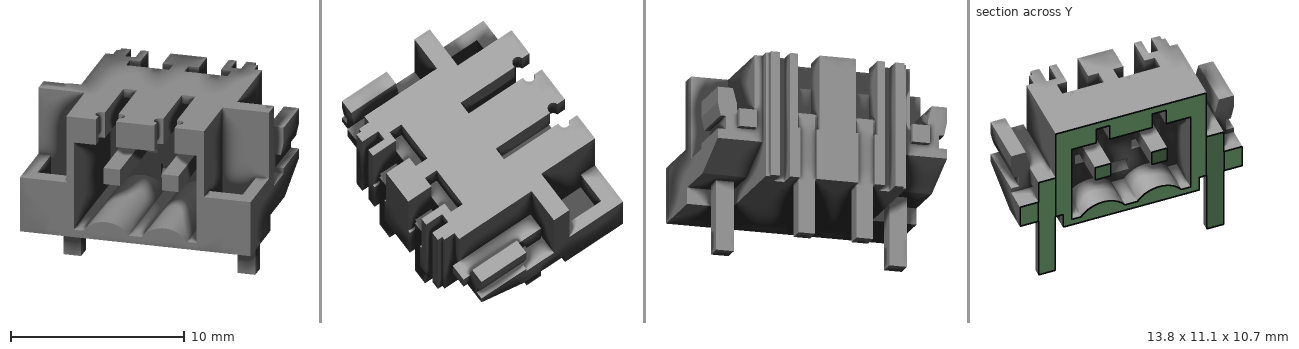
import cadquery as cq


width = 13.85
depth = 11.05
height = 7.45
pin_drop = 3.2

half_width = width / 2
pole_pitch = 3.5
pole_centres = [-pole_pitch / 2, pole_pitch / 2]
sides = [-1, 1]

front_half_width = 4.14
core_half_width = 4.24
core_back = 10.73
tail_half_width = 4.03

flange_front = 3.81
flange_back = 4.89
flange_bottom = 0.98
block_top = 3.35
block_underside_back = 4.11
pocket_outer = 6.16
pocket_front = 1.01
pocket_floor = 1.44

side_wall_half_width = 4.7
arm_back = 10.03
arm_slope_start = 7.06
arm_slope_end_z = 2.26
arm_top = 2.5

latch_front = 6.85
latch_top = 5.35
latch_lip_bottom = 4.42
latch_recess_top = 3.63
latch_recess_bottom = 2.84
latch_inner_top = 6.01
latch_recess_inset = 0.48
latch_taper_inset = 0.18

cavity_half_width = 3.68
cavity_floor = 0.46
cavity_top = 5.87
cavity_back = 7.62
ridge_half_width = 1.37
ridge_height = 0.69

contact_recess_size = 1.76
contact_recess_depth = 0.69

catch_width = 1.36
catch_bottom = 1.12
catch_ramp_top = 1.54
catch_top = 1.98
catch_depth = catch_ramp_top - catch_bottom

key_width = 0.82
key_back = 5.03
key_groove_top = 6.92
mouth_width = 1.22
bulb_length = 1.75
bulb_width = 0.66
bulb_y = 0.86

cross_slot_width = 2.59
cross_slot_front = 8.59
cross_slot_back = 9.42
channel_width = 1.32
channel_floor_back = 10.57
notch_inner = 2.87
notch_outer = 3.48
notch_front = 9.92

contact_size = 1.0
contact_leg_depth = 0.97
contact_tip = 1.2
contact_back = 10.69
contact_bottom = 2.99
contact_top = contact_bottom + contact_size
contact_z = (contact_bottom + contact_top) / 2

hold_inner = side_wall_half_width
hold_outer = 5.76
hold_leg_front = 4.97
hold_leg_back = 6.0
hold_bar_back = 10.47
hold_bar_bottom = 2.96
hold_bar_top = 4.03


def block(x, y, z):
    """Box between the two X, the two Y and the two Z limits given as pairs."""
    size = [abs(limits[1] - limits[0]) for limits in (x, y, z)]
    corner = [min(limits) for limits in (x, y, z)]
    return cq.Workplane("XY").box(*size, centered=False).translate(tuple(corner))


def across(centre, size):
    """Pair of limits of a span with the given centre."""
    return (centre - size / 2, centre + size / 2)


def extrude_side_profile(points, x):
    """Prism along X between two X limits, from (Y, Z) points."""
    start, end = sorted(x)
    return cq.Workplane("YZ").workplane(offset=start).polyline(points).close().extrude(end - start)


def make_angle_pin(x, bar, bar_z, leg):
    """L-shaped pin: a bar along Y and a leg that drops below the housing."""
    return block(x, bar, bar_z).union(block(x, leg, (-pin_drop, bar_z[1])))


def make_contact(x):
    return make_angle_pin(
        across(x, contact_size),
        (contact_tip, contact_back),
        (contact_bottom, contact_top),
        (contact_back - contact_leg_depth, contact_back),
    )


def make_hold_down(side):
    return make_angle_pin(
        (side * hold_inner, side * hold_outer),
        (hold_leg_front, hold_bar_back),
        (hold_bar_bottom, hold_bar_top),
        (hold_leg_front, hold_leg_back),
    )


def make_core():
    front = block((-front_half_width, front_half_width), (0, flange_front), (0, height))
    middle = block((-core_half_width, core_half_width), (flange_front, core_back), (0, height))
    tail = block((-tail_half_width, tail_half_width), (core_back, depth), (0, height))
    return front.union(middle).union(tail)


def make_flange_and_front_blocks():
    full_width = (-half_width, half_width)
    flange = block(full_width, (flange_front, flange_back), (flange_bottom, height))
    base = block(full_width, (0, block_underside_back), (0, block_top))
    shape = flange.union(base)
    for side in sides:
        pocket_x = (side * front_half_width, side * pocket_outer)
        shape = shape.cut(block(pocket_x, (pocket_front, flange_front), (pocket_floor, block_top)))
    return shape


def side_profile(top):
    """Outline of an arm or side wall, sloping up along the underside to the back."""
    return [
        (flange_front, flange_bottom),
        (arm_slope_start, flange_bottom),
        (arm_back, arm_slope_end_z),
        (arm_back, top),
        (flange_front, top),
    ]


def make_latch(side):
    """Latch with an undercut lip outside, a tapered face inside and a ledge under the pin bar."""
    recess_x = half_width - latch_recess_inset
    outline = [
        (side_wall_half_width, arm_top),
        (half_width, arm_top),
        (half_width, latch_recess_bottom),
        (recess_x, latch_recess_bottom),
        (recess_x, latch_recess_top),
        (half_width - latch_taper_inset, latch_recess_top),
        (half_width, latch_lip_bottom),
        (half_width, latch_top),
        (latch_inner_top, latch_top),
        (hold_outer, latch_lip_bottom),
        (hold_outer, hold_bar_bottom),
        (side_wall_half_width, hold_bar_bottom),
    ]
    points = [(side * x, z) for x, z in outline]
    profile = cq.Workplane("XZ").workplane(offset=-arm_back).polyline(points).close()
    return profile.extrude(arm_back - latch_front)


def make_side(side):
    wall_x = (side * front_half_width, side * side_wall_half_width)
    arm_x = (side * side_wall_half_width, side * half_width)
    wall = extrude_side_profile(side_profile(height), wall_x)
    arm = extrude_side_profile(side_profile(arm_top), arm_x)
    return wall.union(arm).union(make_latch(side))


def make_ridge(x):
    """Rounded ridge along the cavity floor: a segment of a circle."""
    return (
        cq.Workplane("XZ")
        .moveTo(x - ridge_half_width, cavity_floor)
        .threePointArc((x, cavity_floor + ridge_height), (x + ridge_half_width, cavity_floor))
        .close()
        .extrude(-cavity_back)
    )


def make_cavity():
    cavity_x = (-cavity_half_width, cavity_half_width)
    cavity = block(cavity_x, (0, cavity_back), (cavity_floor, cavity_top))
    for x in pole_centres:
        cavity = cavity.cut(make_ridge(x))
        recess_y = (cavity_back, cavity_back + contact_recess_depth)
        recess = block(across(x, contact_recess_size), recess_y, across(contact_z, contact_recess_size))
        cavity = cavity.union(recess)
    return cavity


def make_catch_recess():
    recess_back = cavity_back + catch_depth
    profile = [
        (cavity_back, catch_bottom),
        (recess_back, catch_ramp_top),
        (recess_back, catch_top),
        (cavity_back, catch_top),
    ]
    return extrude_side_profile(profile, across(0, catch_width))


def make_keyway(x):
    """Slot through the roof with a bulb at its mouth, and a groove in the ceiling behind it."""
    roof = (cavity_top, height)
    mouth = block(across(x, mouth_width), (0, bulb_y), roof)
    slot = block(across(x, key_width), (bulb_y, key_back), roof)
    groove = block(across(x, key_width), (key_back, cavity_back), (cavity_top, key_groove_top))
    bulb = (
        cq.Workplane("XY", origin=(x, bulb_y, cavity_top))
        .slot2D(bulb_length, bulb_width)
        .extrude(height - cavity_top)
    )
    return mouth.union(slot).union(groove).union(bulb)


def make_back_slot(x):
    """Slot across the top and the stepped channel above the contact, open to the back."""
    channel_x = across(x, channel_width)
    cross = block(across(x, cross_slot_width), (cross_slot_front, cross_slot_back), (cavity_top, height))
    channel = block(channel_x, (cross_slot_back, depth), (contact_top, height))
    step = block(channel_x, (channel_floor_back, depth), (contact_bottom, height))
    exit_slot = block(across(x, contact_size), (contact_back, depth), (0, height))
    return cross.union(channel).union(step).union(exit_slot)


def make_back_notch(side):
    return block((side * notch_inner, side * notch_outer), (notch_front, depth), (0, height))


def make_housing(pins):
    """Housing with a matching passage for every pin."""
    shape = make_core().union(make_flange_and_front_blocks())
    for side in sides:
        shape = shape.union(make_side(side)).cut(make_back_notch(side))
    shape = shape.cut(make_cavity()).cut(make_catch_recess())
    for x in pole_centres:
        shape = shape.cut(make_keyway(x)).cut(make_back_slot(x))
    for pin in pins:
        shape = shape.cut(pin)
    return shape


contacts = [make_contact(x) for x in pole_centres]
hold_downs = [make_hold_down(side) for side in sides]
housing = make_housing(contacts + hold_downs)

result = cq.Compound.makeCompound(
    [housing.val()] + [contact.val() for contact in contacts] + [pin.val() for pin in hold_downs]
)